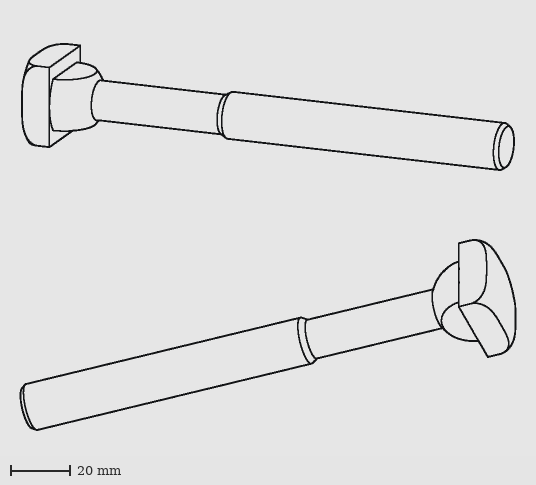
import cadquery as cq
import math

total_length = 170.0

head_width = 28.0
head_thickness = 10.0

neck_radius = head_width / 2
neck_thickness = 18.0

shank_diameter = 13.5
end_diameter = 16.0
end_section_length = 100.0
shoulder_angle = math.radians(30)
tip_diameter = 14.0
tip_chamfer_length = 1.5

shank_radius = shank_diameter / 2
end_radius = end_diameter / 2
shoulder_length = (end_radius - shank_radius) / math.tan(shoulder_angle)
end_section_start = total_length - end_section_length
shoulder_start = end_section_start - shoulder_length
tip_chamfer_start = total_length - tip_chamfer_length
tip_radius = tip_diameter / 2


def revolve_about_x(profile):
    """Close a half profile along the X axis and turn it into a solid."""
    return profile.close().revolve(360, (0, 0, 0), (1, 0, 0))


def make_head():
    """Square block whose front corners are rounded down from an inscribed circle."""
    face_radius = head_width / 2
    corner_radius = head_width / math.sqrt(2)
    rounding = corner_radius - face_radius
    arc_middle = (
        rounding * (1 - math.cos(math.pi / 4)),
        face_radius + rounding * math.sin(math.pi / 4),
    )
    block = cq.Workplane("XY").box(
        head_thickness, head_width, head_width, centered=(False, True, True)
    )
    rounded_disc = revolve_about_x(
        cq.Workplane("XY")
        .lineTo(0, face_radius)
        .threePointArc(arc_middle, (rounding, corner_radius))
        .lineTo(head_thickness, corner_radius)
        .lineTo(head_thickness, 0)
    )
    return block.intersect(rounded_disc)


def make_neck():
    """Half ball on the back of the head, cut flat on its top and bottom."""
    ball = cq.Workplane("XY").sphere(neck_radius).translate((head_thickness, 0, 0))
    slab = cq.Workplane("XY").box(
        neck_radius, 2 * neck_radius, neck_thickness, centered=(False, True, True)
    )
    return ball.intersect(slab.translate((head_thickness, 0, 0)))


def make_shank():
    """Round bar with a conical step up to the end section and a chamfered tip."""
    return revolve_about_x(
        cq.Workplane("XY")
        .moveTo(head_thickness, 0)
        .lineTo(head_thickness, shank_radius)
        .lineTo(shoulder_start, shank_radius)
        .lineTo(end_section_start, end_radius)
        .lineTo(tip_chamfer_start, end_radius)
        .lineTo(total_length, tip_radius)
        .lineTo(total_length, 0)
    )


result = make_head().union(make_neck()).union(make_shank())